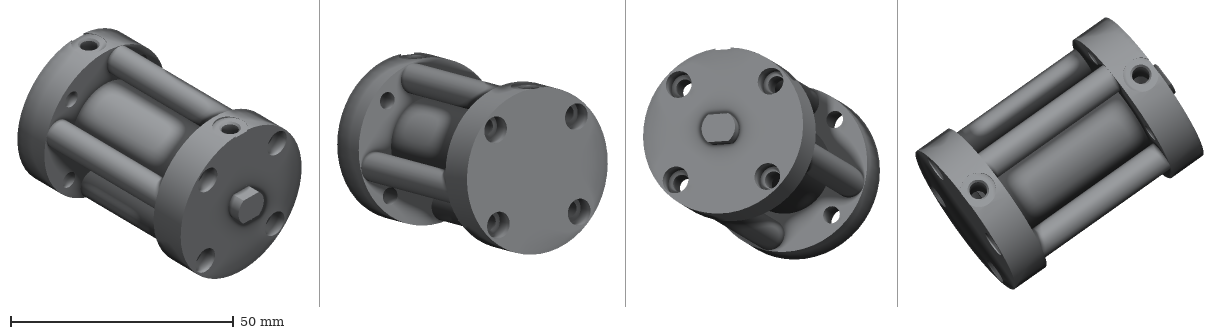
import cadquery as cq
import math

total_length = 55.65
cap_length = 8.7
tip_length = 3.2
cap_gap = total_length - 2 * cap_length - tip_length
stack_length = total_length - tip_length

cap_diameter = 38.1
socket_floor = 4.45

barrel_diameter = 20.6

pitch_radius = 15.45
tie_rod_diameter = 6.95
tie_rod_angle = 74.5
bolt_hole_diameter = 3.95
bolt_hole_angle = 43.0
counterbore_diameter = 6.1
counterbore_depth = 4.0
pattern_count = 4

port_inset = 3.55
port_diameter = 3.95
port_chamfer = 0.45
port_bottom_z = 9.85
drill_point_angle = 118.0
spotface_diameter = 7.95
spotface_depth = 0.45
spotface_z = cap_diameter / 2 - spotface_depth

rod_diameter = 7.95
rod_flat_width = 6.35


def cylinder_along_x(diameter, start, length, y=0.0, z=0.0):
    return cq.Workplane("YZ", origin=(start, y, z)).circle(diameter / 2).extrude(length)


def pitch_points(first_angle):
    """(Y, Z) places spaced evenly round the pitch circle."""
    angles = [math.radians(first_angle + i * 360 / pattern_count) for i in range(pattern_count)]
    return [(pitch_radius * math.cos(a), pitch_radius * math.sin(a)) for a in angles]


def port_cutter():
    """Spotface, chamfered bore and drill point, revolved about a vertical axis."""
    bore_radius = port_diameter / 2
    mouth_radius = bore_radius + port_chamfer
    point_height = bore_radius / math.tan(math.radians(drill_point_angle / 2))
    profile = [
        (0, port_bottom_z - point_height),
        (bore_radius, port_bottom_z),
        (bore_radius, spotface_z - port_chamfer),
        (mouth_radius, spotface_z),
        (spotface_diameter / 2, spotface_z),
        (spotface_diameter / 2, cap_diameter / 2),
        (0, cap_diameter / 2),
    ]
    cutter = cq.Workplane("XZ").polyline(profile).close().revolve(360, (0, 0, 0), (0, 1, 0))
    return cutter.translate((port_inset, 0, 0))


def make_cap():
    """Cap with its outer face at X = 0 and the barrel socket facing +X."""
    cap = cylinder_along_x(cap_diameter, 0, cap_length)
    cap = cap.cut(cylinder_along_x(barrel_diameter, socket_floor, cap_length - socket_floor))
    for y, z in pitch_points(bolt_hole_angle):
        cap = cap.cut(cylinder_along_x(bolt_hole_diameter, 0, cap_length, y, z))
        cap = cap.cut(cylinder_along_x(counterbore_diameter, 0, counterbore_depth, y, z))
    return cap.cut(port_cutter())


def make_front_cap():
    """Mirror image of the rear cap, bored through for the piston rod."""
    cap = make_cap().mirror("YZ").translate((stack_length, 0, 0))
    return cap.cut(cylinder_along_x(rod_diameter, stack_length - socket_floor, socket_floor))


def make_barrel():
    """Plain cylinder seated in the sockets of both caps."""
    return cylinder_along_x(barrel_diameter, socket_floor, stack_length - 2 * socket_floor)


def make_tie_rod(y, z):
    return cylinder_along_x(tie_rod_diameter, cap_length, cap_gap, y, z)


def make_piston_rod():
    """Round in the front cap, with two flats across Z on the exposed tip."""
    shank = cylinder_along_x(rod_diameter, stack_length - socket_floor, socket_floor)
    tip = cylinder_along_x(rod_diameter, stack_length, tip_length)
    flats = cq.Workplane("YZ", origin=(stack_length, 0, 0)).rect(rod_diameter, rod_flat_width)
    return shank.union(tip.intersect(flats.extrude(tip_length)))


rear_cap = make_cap()
front_cap = make_front_cap()
barrel = make_barrel()
tie_rods = [make_tie_rod(y, z) for y, z in pitch_points(tie_rod_angle)]
piston_rod = make_piston_rod()

result = cq.Compound.makeCompound([
    rear_cap.val(),
    front_cap.val(),
    barrel.val(),
    *[tie_rod.val() for tie_rod in tie_rods],
    piston_rod.val(),
])